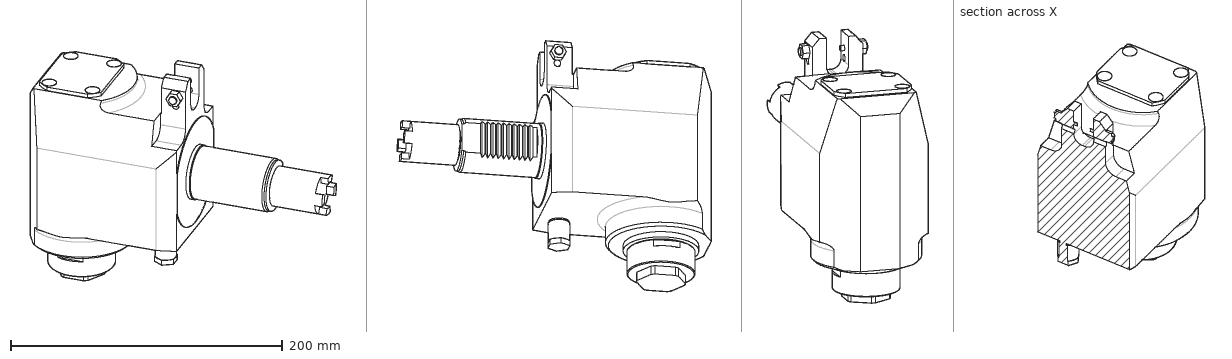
import cadquery as cq
import math


HOUSING_LENGTH = 124.0
HALF_WIDTH = 42.0
NOSE_HALF_WIDTH = 15.2
NOSE_ANGLE = 60.0
TAIL_TAPER_LENGTH = 14.8
TAPER = math.tan(math.radians(15.0))
TAIL_HALF_WIDTH = HALF_WIDTH - TAIL_TAPER_LENGTH * TAPER
TOP_Z = 62.7
SHOULDER_Z = 54.6
TAPER_START_Z = 20.1
NOSE_SLOPE_Z = 50.0
NOSE_SLOPE_RUN = 7.8
BELLY_Z = -47.8
BOTTOM_Z = -68.5

OUTPUT_X = -89.1
HEAD_RADIUS = 41.0
HEAD_COVE = 6.0
HEAD_CHAMFER = 2.2

COVER_LENGTH = 48.7
COVER_WIDTH = 60.0
COVER_CORNER_RADIUS = 34.0
COVER_TOP_Z = 65.6
SCREW_HEAD_RADIUS = 5.4
SCREW_SPACING_X = 34.0
SCREW_SPACING_Y = 45.0
SCREW_RECESS = 0.2

STEP_LENGTH = 19.7
STEP_Z = 36.0
FORK_LENGTH = 19.0
FORK_TOP_Z = 82.0
FORK_OUTER_Y = 19.5
FORK_INNER_Y = 8.5
FORK_FOOT_RADIUS = 9.0
CHANNEL_RADIUS = 7.5
CHANNEL_FLOOR_Z = 52.6
FORK_CHAMFER_Y = 5.4
FORK_CHAMFER_Z = 6.2

SET_SCREW_X = -7.75
SET_SCREW_Z = 70.2
SET_SCREW_RADIUS = 3.0
SET_SCREW_END_Y = 26.0
SET_SCREW_TIP_RADIUS = 2.0
SET_SCREW_TIP_Y = 5.7
NUT_FLATS = 10.0
NUT_OUTER_Y = 24.7
CROSS_HOLE_Z = 62.6
CROSS_HOLE_RADIUS = 2.5

SEAT_RADIUS = 41.7
SEAT_THICKNESS = 0.7
FLANGE_RADIUS = 20.6
FLANGE_END_X = 3.4
SHANK_RADIUS = 20.0
SHANK_END_X = 63.3
SHANK_TIP_RADIUS = 19.3
SHANK_TIP_LENGTH = 1.5
SHANK_CHAMFER_LENGTH = 1.5
RACK_START_X = 7.0
RACK_Y = 16.2
TOOTH_COUNT = 10
TOOTH_PITCH = 4.0
TOOTH_DEPTH = 2.1
TOOTH_GAP_WIDTH = 3.4
FIRST_GAP_X = 11.6

COLLAR_RADIUS = 27.9
COLLAR_END_Z = -72.7
NECK_RADIUS = 24.0
NOSE_RING_RADIUS = 25.1
NOSE_RING_START_Z = -73.4
NOSE_RING_END_Z = -91.4
NOSE_RING_CHAMFER = 0.7
WRENCH_FLAT_Y = 23.1
WRENCH_FLAT_END_Z = -78.5
HEX_FLATS = 33.0
HEX_CORNER_RADIUS = 18.2
HEX_END_Z = -98.03

PLUG_X = -16.0
PLUG_Y = -18.0
PLUG_RADIUS = 8.0
PLUG_NECK_RADIUS = 7.5
PLUG_START_Z = -49.0
PLUG_END_Z = -63.8
PLUG_HEX_FLATS = 15.0
PLUG_HEX_END_Z = -67.9

DRIVE_RADIUS = 15.1
DRIVE_NECK_RADIUS = 12.2
DRIVE_START_X = 64.4
OVERALL_LENGTH = 229.85
DRIVE_END_X = OVERALL_LENGTH - HOUSING_LENGTH
DOG_COUNT = 4
DOG_ANGLE = 36.8
DOG_HEIGHT = 5.8
DOG_INNER_RADIUS = 10.0
DOG_TURN = 81.1

SIDES = (-1, 1)
SIN_45 = math.sin(math.radians(45))


def z_cylinder(x, radius, z_from, z_to):
    return cq.Workplane("XY", origin=(x, 0, z_from)).circle(radius).extrude(z_to - z_from)


def x_cylinder(radius, x_from, x_to):
    return cq.Workplane("YZ", origin=(x_from, 0, 0)).circle(radius).extrude(x_to - x_from)


def y_cylinder(x, z, radius, y_from, y_to):
    return cq.Workplane("XZ", origin=(x, y_from, z)).circle(radius).extrude(y_from - y_to)


def hex_diameter(flats):
    return flats / math.cos(math.radians(30))


def step_block(z_top):
    """Full-width block from the step wall to the mounting face, standing on the step floor."""
    return (
        cq.Workplane("XY", origin=(-STEP_LENGTH / 2, 0, STEP_Z))
        .rect(STEP_LENGTH, 2 * HALF_WIDTH)
        .extrude(z_top - STEP_Z)
    )


def head_and_belly():
    """The flat-bottomed body between belly and shoulder, and the round head passing through it."""
    body = (
        cq.Workplane("XY", origin=(0, 0, BELLY_Z))
        .rect(2 * HOUSING_LENGTH, 2 * HALF_WIDTH)
        .extrude(SHOULDER_Z - BELLY_Z)
    )
    cove_radius = HEAD_RADIUS + HEAD_COVE
    cove_mid = cove_radius - HEAD_COVE * SIN_45
    cove_rise = HEAD_COVE * (1 - SIN_45)
    head = (
        cq.Workplane("XZ", origin=(OUTPUT_X, 0, 0))
        .moveTo(0, BOTTOM_Z)
        .lineTo(HEAD_RADIUS - HEAD_CHAMFER, BOTTOM_Z)
        .lineTo(HEAD_RADIUS, BOTTOM_Z + HEAD_CHAMFER)
        .lineTo(HEAD_RADIUS, BELLY_Z - HEAD_COVE)
        .threePointArc((cove_mid, BELLY_Z - cove_rise), (cove_radius, BELLY_Z))
        .lineTo(cove_radius, SHOULDER_Z)
        .threePointArc((cove_mid, SHOULDER_Z + cove_rise), (HEAD_RADIUS, SHOULDER_Z + HEAD_COVE))
        .lineTo(HEAD_RADIUS, TOP_Z)
        .lineTo(0, TOP_Z)
        .close()
        .revolve(360, (0, 0, 0), (0, 1, 0))
    )
    return body.union(head)


def housing_block():
    nose_run = (HALF_WIDTH - NOSE_HALF_WIDTH) / math.tan(math.radians(NOSE_ANGLE))
    plan = (
        cq.Workplane("XY", origin=(0, 0, BOTTOM_Z))
        .moveTo(-HOUSING_LENGTH, 0)
        .lineTo(-HOUSING_LENGTH, NOSE_HALF_WIDTH)
        .lineTo(nose_run - HOUSING_LENGTH, HALF_WIDTH)
        .lineTo(-TAIL_TAPER_LENGTH, HALF_WIDTH)
        .lineTo(0, TAIL_HALF_WIDTH)
        .lineTo(0, 0)
        .mirrorX()
        .extrude(TOP_Z - BOTTOM_Z)
    )
    top_half_width = HALF_WIDTH - (TOP_Z - TAPER_START_Z) * TAPER
    cross_section = (
        cq.Workplane("YZ", origin=(-HOUSING_LENGTH, 0, 0))
        .moveTo(0, BOTTOM_Z)
        .lineTo(HALF_WIDTH, BOTTOM_Z)
        .lineTo(HALF_WIDTH, TAPER_START_Z)
        .lineTo(top_half_width, TOP_Z)
        .lineTo(0, TOP_Z)
        .mirrorY()
        .extrude(HOUSING_LENGTH)
    )
    nose_slope = (
        cq.Workplane("XZ")
        .moveTo(-HOUSING_LENGTH, NOSE_SLOPE_Z)
        .lineTo(NOSE_SLOPE_RUN - HOUSING_LENGTH, TOP_Z)
        .lineTo(-HOUSING_LENGTH, TOP_Z)
        .close()
        .extrude(HALF_WIDTH, both=True)
    )
    block = plan.intersect(cross_section).cut(nose_slope).intersect(head_and_belly())
    return block.cut(step_block(TOP_Z))


def cover_plate():
    plate = (
        cq.Workplane("XY", origin=(OUTPUT_X, 0, TOP_Z))
        .rect(COVER_LENGTH, COVER_WIDTH)
        .extrude(COVER_TOP_Z - TOP_Z)
        .intersect(z_cylinder(OUTPUT_X, COVER_CORNER_RADIUS, TOP_Z, COVER_TOP_Z))
    )
    recesses = (
        cq.Workplane("XY", origin=(OUTPUT_X, 0, COVER_TOP_Z - SCREW_RECESS))
        .rect(SCREW_SPACING_X, SCREW_SPACING_Y, forConstruction=True)
        .vertices()
        .circle(SCREW_HEAD_RADIUS)
        .extrude(SCREW_RECESS)
    )
    return plate.cut(recesses)


def fork_profile(length):
    """U-shaped fork section with flared feet, reaching from the mounting face to X = -length."""
    foot_y = FORK_OUTER_Y + FORK_FOOT_RADIUS
    foot_z = STEP_Z + FORK_FOOT_RADIUS
    channel_y = FORK_INNER_Y - CHANNEL_RADIUS
    channel_z = CHANNEL_FLOOR_Z + CHANNEL_RADIUS
    return (
        cq.Workplane("YZ", origin=(-length, 0, 0))
        .moveTo(0, STEP_Z)
        .lineTo(foot_y, STEP_Z)
        .threePointArc(
            (foot_y - FORK_FOOT_RADIUS * SIN_45, foot_z - FORK_FOOT_RADIUS * SIN_45),
            (FORK_OUTER_Y, foot_z),
        )
        .lineTo(FORK_OUTER_Y, FORK_TOP_Z - FORK_CHAMFER_Z)
        .lineTo(FORK_OUTER_Y - FORK_CHAMFER_Y, FORK_TOP_Z)
        .lineTo(FORK_INNER_Y, FORK_TOP_Z)
        .lineTo(FORK_INNER_Y, channel_z)
        .threePointArc(
            (channel_y + CHANNEL_RADIUS * SIN_45, channel_z - CHANNEL_RADIUS * SIN_45),
            (channel_y, CHANNEL_FLOOR_Z),
        )
        .lineTo(0, CHANNEL_FLOOR_Z)
        .mirrorY()
        .extrude(length)
    )


def set_screw(side):
    """Set screw through one fork arm, with a lock nut on the outside."""
    nut = (
        cq.Workplane("XZ", origin=(SET_SCREW_X, side * FORK_OUTER_Y, SET_SCREW_Z))
        .polygon(6, hex_diameter(NUT_FLATS))
        .extrude(-side * (NUT_OUTER_Y - FORK_OUTER_Y))
    )
    end = y_cylinder(
        SET_SCREW_X, SET_SCREW_Z, SET_SCREW_RADIUS, side * FORK_OUTER_Y, side * SET_SCREW_END_Y
    )
    tip = y_cylinder(
        SET_SCREW_X, SET_SCREW_Z, SET_SCREW_TIP_RADIUS, side * SET_SCREW_TIP_Y, side * FORK_OUTER_Y
    )
    return nut.union(end).union(tip)


def fork():
    foot = fork_profile(STEP_LENGTH).intersect(step_block(SHOULDER_Z))
    bracket = fork_profile(FORK_LENGTH).union(foot)
    bracket = bracket.cut(
        y_cylinder(SET_SCREW_X, CROSS_HOLE_Z, CROSS_HOLE_RADIUS, -FORK_OUTER_Y, FORK_OUTER_Y)
    )
    for side in SIDES:
        bracket = bracket.union(set_screw(side))
    return bracket


def shank():
    chamfer_end_x = SHANK_END_X - SHANK_TIP_LENGTH
    body = (
        cq.Workplane("XY")
        .moveTo(0, 0)
        .lineTo(0, FLANGE_RADIUS)
        .lineTo(FLANGE_END_X, FLANGE_RADIUS)
        .lineTo(FLANGE_END_X + FLANGE_RADIUS - SHANK_RADIUS, SHANK_RADIUS)
        .lineTo(chamfer_end_x - SHANK_CHAMFER_LENGTH, SHANK_RADIUS)
        .lineTo(chamfer_end_x, SHANK_TIP_RADIUS)
        .lineTo(SHANK_END_X, SHANK_TIP_RADIUS)
        .lineTo(SHANK_END_X, 0)
        .close()
        .revolve(360, (0, 0, 0), (1, 0, 0))
    )
    rack_flat = (
        cq.Workplane("XY")
        .moveTo(RACK_START_X, RACK_Y)
        .lineTo(RACK_START_X, SHANK_RADIUS)
        .lineTo(SHANK_END_X, SHANK_RADIUS)
        .lineTo(SHANK_END_X, RACK_Y)
        .close()
        .extrude(SHANK_RADIUS, both=True)
    )
    body = body.cut(rack_flat)
    for index in range(TOOTH_COUNT):
        gap_x = FIRST_GAP_X + index * TOOTH_PITCH
        tooth_gap = (
            cq.Workplane("XY")
            .moveTo(gap_x, RACK_Y - TOOTH_DEPTH)
            .lineTo(gap_x + TOOTH_GAP_WIDTH / 2, RACK_Y)
            .lineTo(gap_x - TOOTH_GAP_WIDTH / 2, RACK_Y)
            .close()
            .extrude(SHANK_RADIUS, both=True)
        )
        body = body.cut(tooth_gap)
    return body


def mounting_seat():
    """Thin raised disc on the mounting face, trimmed to the width of that face."""
    trim = cq.Workplane("YZ").rect(2 * TAIL_HALF_WIDTH, 2 * SEAT_RADIUS).extrude(SEAT_THICKNESS)
    return x_cylinder(SEAT_RADIUS, 0, SEAT_THICKNESS).intersect(trim)


def output_spindle():
    collar = z_cylinder(OUTPUT_X, COLLAR_RADIUS, COLLAR_END_Z, BOTTOM_Z)
    neck = z_cylinder(OUTPUT_X, NECK_RADIUS, NOSE_RING_START_Z, COLLAR_END_Z)
    ring = z_cylinder(OUTPUT_X, NOSE_RING_RADIUS, NOSE_RING_END_Z, NOSE_RING_START_Z)
    ring = ring.faces("<Z").edges().chamfer(NOSE_RING_CHAMFER)
    flat_depth = NOSE_RING_RADIUS - WRENCH_FLAT_Y
    for side in SIDES:
        flat_middle_y = side * (WRENCH_FLAT_Y + flat_depth / 2)
        wrench_flat = (
            cq.Workplane("XY", origin=(OUTPUT_X, flat_middle_y, WRENCH_FLAT_END_Z))
            .rect(2 * NOSE_RING_RADIUS, flat_depth)
            .extrude(NOSE_RING_START_Z - WRENCH_FLAT_END_Z)
        )
        ring = ring.cut(wrench_flat)
    hex_end = (
        cq.Workplane("XY", origin=(OUTPUT_X, 0, HEX_END_Z))
        .polygon(6, hex_diameter(HEX_FLATS))
        .extrude(NOSE_RING_END_Z - HEX_END_Z)
        .intersect(z_cylinder(OUTPUT_X, HEX_CORNER_RADIUS, HEX_END_Z, NOSE_RING_END_Z))
    )
    return collar.union(neck).union(ring).union(hex_end)


def coolant_plug():
    neck = z_cylinder(PLUG_X, PLUG_NECK_RADIUS, PLUG_START_Z, BELLY_Z)
    barrel = z_cylinder(PLUG_X, PLUG_RADIUS, PLUG_END_Z, PLUG_START_Z)
    hex_end = (
        cq.Workplane("XY", origin=(PLUG_X, 0, PLUG_HEX_END_Z))
        .transformed(rotate=(0, 0, 30))
        .polygon(6, hex_diameter(PLUG_HEX_FLATS))
        .extrude(PLUG_END_Z - PLUG_HEX_END_Z)
    )
    return neck.union(barrel).union(hex_end).translate((0, PLUG_Y, 0))


def build_housing():
    housing = housing_block()
    for feature in (cover_plate(), fork(), mounting_seat(), shank(), output_spindle(), coolant_plug()):
        housing = housing.union(feature)
    return housing


def dog_gap(turn):
    """Wedge-shaped gap between two drive dogs, centred on the given angle in the YZ plane."""
    half_gap = math.radians((360 / DOG_COUNT - DOG_ANGLE) / 2)
    reach = 2 * DRIVE_RADIUS
    return (
        cq.Workplane("YZ", origin=(DRIVE_END_X - DOG_HEIGHT, 0, 0))
        .transformed(rotate=(0, 0, turn))
        .lineTo(reach * math.cos(half_gap), reach * math.sin(half_gap))
        .lineTo(reach * math.cos(half_gap), -reach * math.sin(half_gap))
        .close()
        .extrude(DOG_HEIGHT)
    )


def build_drive_shaft():
    """Shaft stub ending in a ring of drive dogs around a shallow bore."""
    neck = x_cylinder(DRIVE_NECK_RADIUS, SHANK_END_X, DRIVE_START_X)
    barrel = x_cylinder(DRIVE_RADIUS, DRIVE_START_X, DRIVE_END_X)
    shaft = neck.union(barrel).cut(x_cylinder(DOG_INNER_RADIUS, DRIVE_END_X - DOG_HEIGHT, DRIVE_END_X))
    for index in range(DOG_COUNT):
        shaft = shaft.cut(dog_gap(DOG_TURN + (index + 0.5) * 360 / DOG_COUNT))
    return shaft


housing = build_housing()
drive_shaft = build_drive_shaft()

result = cq.Compound.makeCompound([housing.val(), drive_shaft.val()])